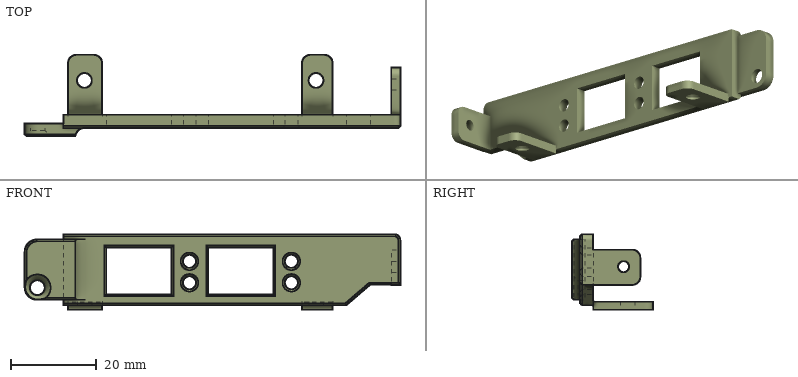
import cadquery as cq
import math


PLATE_LENGTH = 78.6
PLATE_HEIGHT = 16.6
PLATE_THICKNESS = 3.1
PLATE_EDGE_CHAMFER = 0.5
CORNER_RADIUS = 1.5
STEP_HEIGHT = 4.8
STEP_LENGTH = 7.05
STEP_SLOPE_LENGTH = 5.6

PORT_COUNT = 2
PORT_WIDTH = 15.2
PORT_HEIGHT = 10.9
PORT_CHAMFER = 0.5
PORT_CHAMFER_ANGLE = 45
PORT_PITCH = 23.75
PORT_CENTER_X = 17.6
PORT_CENTER_Z = 8.0

LIGHT_DIAMETER = 3.0
LIGHT_CHAMFER = 0.55
LIGHT_FROM_PORT = 11.8
LIGHT_SPACING = 5.0
LIGHT_CENTER_Z = 7.75

TAB_LEFT = -9.07
TAB_FOOT_RIGHT = 5.0
TAB_FOOT_RADIUS = 2.25
TAB_BOTTOM = 1.25
TAB_HEIGHT = 14.15
TAB_THICKNESS = 3.0
TAB_PROUD = 1.9
TAB_CORNER_RADIUS = 3.0
TAB_EDGE_CHAMFER = 0.5
TAB_HOLE_HEIGHT = 2.85
TAB_HOLE_DIAMETER = 3.4
TAB_SINK_DIAMETER = 6.2

EAR_REACH = 14.0
EAR_THICKNESS = 1.9
EAR_DROP = 1.05
EAR_CORNER_RADIUS = 2.0
EAR_ROOT_RADIUS = 0.3
EAR_HOLE_DIAMETER = 3.4
EAR_HOLE_FROM_END = 6.0
EARS = ((1.05, 8.0, 4.9), (55.6, 7.2, 58.9))

LUG_REACH = 11.03
LUG_THICKNESS = 2.2
LUG_BOTTOM = 4.7
LUG_HEIGHT = 8.3
LUG_CORNER_RADIUS = 2.0
LUG_HOLE_DIAMETER = 2.53
LUG_HOLE_FROM_END = 3.95
LUG_HOLE_HEIGHT = 4.3


def face_plate():
    slope_top_x = PLATE_LENGTH - STEP_LENGTH
    slope_foot_x = slope_top_x - STEP_SLOPE_LENGTH
    plate = (
        cq.Workplane("XZ")
        .polyline([
            (0, 0),
            (slope_foot_x, 0),
            (slope_top_x, STEP_HEIGHT),
            (PLATE_LENGTH, STEP_HEIGHT),
            (PLATE_LENGTH, PLATE_HEIGHT),
            (0, PLATE_HEIGHT),
        ])
        .close()
        .extrude(-PLATE_THICKNESS)
    )
    plate = plate.edges("|Y and >X and >Z").fillet(CORNER_RADIUS)
    return plate.faces("<Y").edges("not <X").chamfer(PLATE_EDGE_CHAMFER)


def port_cutter(center_x):
    return (
        cq.Workplane("XZ")
        .center(center_x, PORT_CENTER_Z)
        .rect(PORT_WIDTH, PORT_HEIGHT)
        .extrude(-PLATE_THICKNESS)
        .union(
            cq.Workplane("XZ")
            .center(center_x, PORT_CENTER_Z)
            .rect(PORT_WIDTH + 2 * PORT_CHAMFER, PORT_HEIGHT + 2 * PORT_CHAMFER)
            .extrude(-PORT_CHAMFER, taper=PORT_CHAMFER_ANGLE)
        )
    )


def sunk_hole_cutter(x, front_y, z, diameter, sink_diameter, depth):
    sink_depth = (sink_diameter - diameter) / 2
    half_profile = [
        (0, 0),
        (sink_diameter / 2, 0),
        (diameter / 2, sink_depth),
        (diameter / 2, depth),
        (0, depth),
    ]
    cutter = cq.Workplane("XY").polyline(half_profile).close().revolve(360, (0, 0), (0, 1))
    return cutter.translate((x, front_y, z))


def mounting_tab():
    foot_span = math.sqrt(TAB_FOOT_RADIUS**2 - (TAB_FOOT_RADIUS - TAB_PROUD) ** 2)
    back_y = TAB_THICKNESS - TAB_PROUD
    tab = (
        cq.Workplane("XY")
        .moveTo(TAB_LEFT, -TAB_PROUD)
        .lineTo(TAB_FOOT_RIGHT - foot_span, -TAB_PROUD)
        .radiusArc((TAB_FOOT_RIGHT, 0), TAB_FOOT_RADIUS)
        .lineTo(TAB_FOOT_RIGHT, back_y)
        .lineTo(TAB_LEFT, back_y)
        .close()
        .extrude(TAB_HEIGHT)
        .translate((0, 0, TAB_BOTTOM))
    )
    tab = tab.edges("|Y and <X").fillet(TAB_CORNER_RADIUS)
    return tab.faces("<Y").edges("not >X").chamfer(TAB_EDGE_CHAMFER)


def ear_root_fillets(left_x, width):
    ear_top = EAR_THICKNESS - EAR_DROP
    upper = (
        cq.Workplane("YZ", origin=(left_x, PLATE_THICKNESS, ear_top))
        .lineTo(EAR_ROOT_RADIUS, 0)
        .radiusArc((0, EAR_ROOT_RADIUS), EAR_ROOT_RADIUS)
        .close()
        .extrude(width)
    )
    lower = (
        cq.Workplane("YZ", origin=(left_x, PLATE_THICKNESS, 0))
        .lineTo(-EAR_ROOT_RADIUS, 0)
        .radiusArc((0, -EAR_ROOT_RADIUS), EAR_ROOT_RADIUS)
        .close()
        .extrude(width)
    )
    return upper.union(lower)


def ear(left_x, width, hole_x):
    end_y = PLATE_THICKNESS + EAR_REACH
    return (
        cq.Workplane("XY")
        .box(width, EAR_REACH, EAR_THICKNESS, centered=False)
        .translate((left_x, PLATE_THICKNESS, -EAR_DROP))
        .edges("|Z and >Y")
        .fillet(EAR_CORNER_RADIUS)
        .union(ear_root_fillets(left_x, width))
        .cut(
            cq.Workplane("XY", origin=(hole_x, end_y - EAR_HOLE_FROM_END, -EAR_DROP))
            .circle(EAR_HOLE_DIAMETER / 2)
            .extrude(EAR_THICKNESS)
        )
    )


def lug():
    left_x = PLATE_LENGTH - LUG_THICKNESS
    end_y = PLATE_THICKNESS + LUG_REACH
    return (
        cq.Workplane("XY")
        .box(LUG_THICKNESS, LUG_REACH, LUG_HEIGHT, centered=False)
        .translate((left_x, PLATE_THICKNESS, LUG_BOTTOM))
        .edges("|X and >Y")
        .fillet(LUG_CORNER_RADIUS)
        .cut(
            cq.Workplane("YZ", origin=(left_x, end_y - LUG_HOLE_FROM_END, LUG_BOTTOM + LUG_HOLE_HEIGHT))
            .circle(LUG_HOLE_DIAMETER / 2)
            .extrude(LUG_THICKNESS)
        )
    )


def light_cutter(center_x, center_z):
    sink_diameter = LIGHT_DIAMETER + 2 * LIGHT_CHAMFER
    return sunk_hole_cutter(center_x, 0, center_z, LIGHT_DIAMETER, sink_diameter, PLATE_THICKNESS)


def tab_hole_cutter():
    center_x = TAB_LEFT + TAB_CORNER_RADIUS
    center_z = TAB_BOTTOM + TAB_HOLE_HEIGHT
    return sunk_hole_cutter(
        center_x, -TAB_PROUD, center_z, TAB_HOLE_DIAMETER, TAB_SINK_DIAMETER, TAB_THICKNESS
    )


bracket = face_plate().union(mounting_tab()).union(lug())
for left_x, width, hole_x in EARS:
    bracket = bracket.union(ear(left_x, width, hole_x))

for port in range(PORT_COUNT):
    port_x = PORT_CENTER_X + port * PORT_PITCH
    bracket = bracket.cut(port_cutter(port_x))
    for side in (-1, 1):
        light_z = LIGHT_CENTER_Z + side * LIGHT_SPACING / 2
        bracket = bracket.cut(light_cutter(port_x + LIGHT_FROM_PORT, light_z))

result = bracket.cut(tab_hole_cutter())